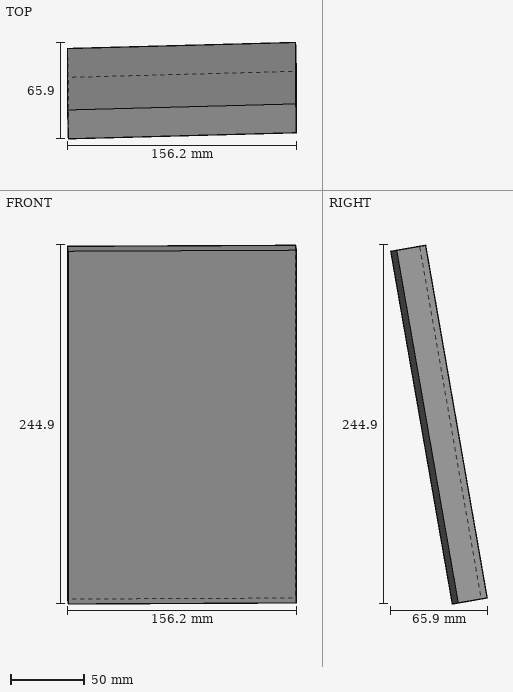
import cadquery as cq

width = 155.7
thickness = 20.0
height = 244.4
turn_angle = 1.55
lean_angle = 9.9

origin = (0, 0, 0)
x_axis = (1, 0, 0)
z_axis = (0, 0, 1)

slab = cq.Workplane("XY").box(width, thickness, height)
turned_slab = slab.rotate(origin, z_axis, turn_angle)
result = turned_slab.rotate(origin, x_axis, lean_angle)